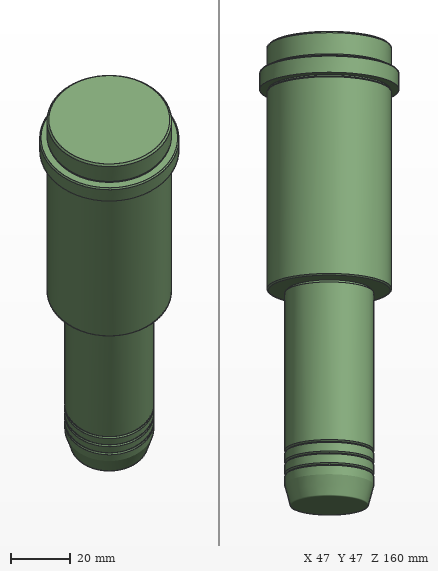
import cadquery as cq
import math

total_length = 160.0
collar_diameter = 47.0
body_diameter = 42.0
shank_diameter = 30.0

taper_height = 7.0
body_bottom = 75.0
collar_bottom = 145.0
collar_top = 151.0

edge_break = 0.5
head_chamfer = 0.6
shank_chamfer = 1.0
neck_height = 0.5
tip_edge_radius = 0.5
taper_angle = 15.0

groove_width = 1.0
groove_depth = 0.5
lowest_groove_height = 10.7
groove_pitch = 4.0
groove_count = 3


def cylinder(diameter, bottom, top):
    """Upright cylinder centred on the Z axis."""
    return cq.Workplane("XY").workplane(offset=bottom).circle(diameter / 2).extrude(top - bottom)


def make_tip():
    """Tapered tip with a rounded lower edge."""
    top_radius = shank_diameter / 2
    bottom_radius = top_radius - taper_height * math.tan(math.radians(taper_angle))
    cone = cq.Solid.makeCone(bottom_radius, top_radius, taper_height)
    return cq.Workplane(obj=cone).faces("<Z").edges().fillet(tip_edge_radius)


def make_groove(height):
    """Ring with a triangular section that cuts one V groove."""
    surface_radius = shank_diameter / 2
    half_width = groove_width / 2
    return (
        cq.Workplane("XZ")
        .moveTo(surface_radius, height - half_width)
        .lineTo(surface_radius - groove_depth, height)
        .lineTo(surface_radius, height + half_width)
        .close()
        .revolve(360, (0, 0, 0), (0, 1, 0))
    )


shank = cylinder(shank_diameter, taper_height, body_bottom).faces(">Z").edges().chamfer(shank_chamfer)
for index in range(groove_count):
    shank = shank.cut(make_groove(lowest_groove_height + index * groove_pitch))

neck_diameter = body_diameter - 2 * edge_break
body_top = collar_bottom - neck_height
head_bottom = collar_top + neck_height
body = cylinder(body_diameter, body_bottom, body_top).faces("<Z or >Z").edges().chamfer(edge_break)
head = cylinder(body_diameter, head_bottom, total_length)
head = head.faces("<Z").edges().chamfer(edge_break)
head = head.faces(">Z").edges().chamfer(head_chamfer)
neck = cylinder(neck_diameter, body_top, head_bottom)

collar = cylinder(collar_diameter, collar_bottom, collar_top).faces(">Z").edges().chamfer(edge_break)

result = make_tip().union(shank).union(body).union(neck).union(collar).union(head)